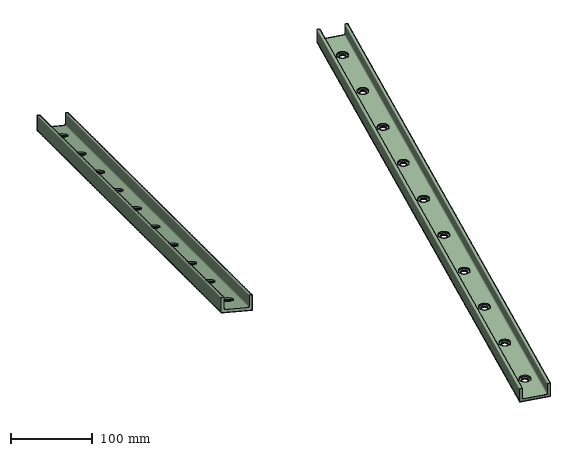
import cadquery as cq

length = 800
width = 40
height = 20.0
wall = 4.0
corner_radius = 2.0
edge_radius = 1.0

hole_count = 10
hole_pitch = length / hole_count
hole_diameter = 9.0
counterbore_diameter = 14.0
counterbore_depth = wall / 2


def make_channel():
    """U-shaped rail along X, open at the top, rounded where walls meet floor and along the long outer edges."""
    inner_width = width - 2 * wall
    rail = cq.Workplane("XY").box(length, width, height, centered=(True, True, False))
    trough = (
        cq.Workplane("XY", origin=(0, 0, wall))
        .box(length, inner_width, height, centered=(True, True, False))
        .edges("|X and <Z")
        .fillet(corner_radius)
    )
    return rail.cut(trough).faces("<Z or >Z").edges("|X").fillet(edge_radius)


def drill_mounting_holes(rail):
    """Evenly spaced holes on the centreline, counterbored from the floor top."""
    return (
        rail
        .copyWorkplane(cq.Workplane("XY", origin=(0, 0, wall)))
        .rarray(hole_pitch, 8, hole_count, 1)
        .cboreHole(hole_diameter, counterbore_diameter, counterbore_depth)
    )


result = drill_mounting_holes(make_channel())